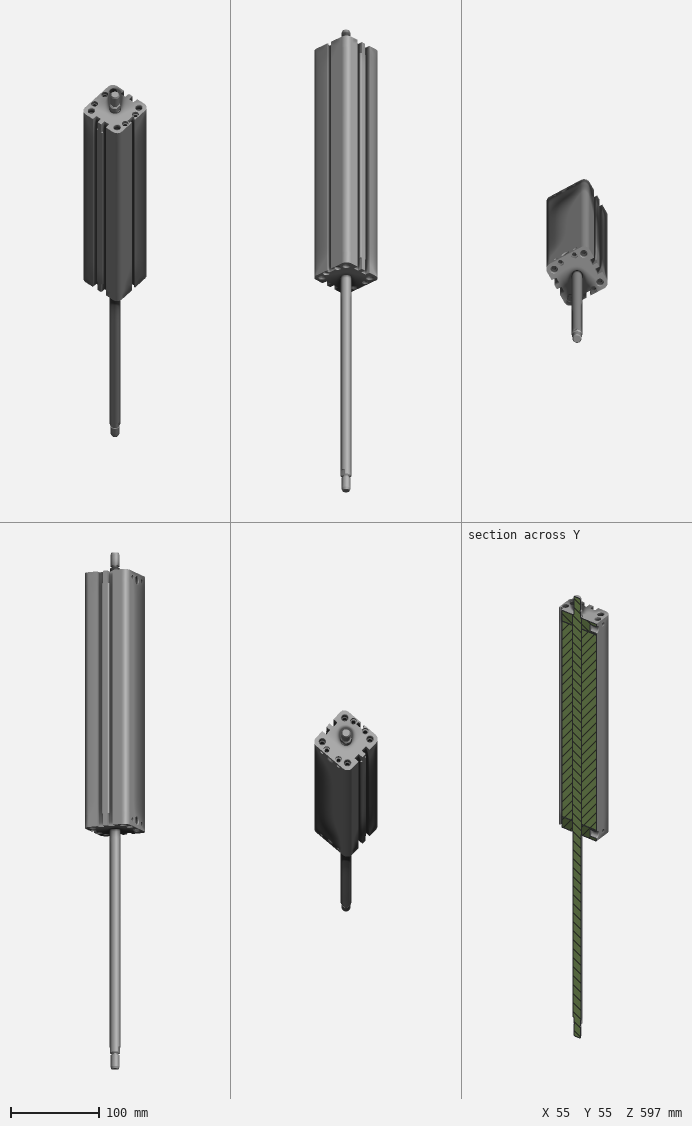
import cadquery as cq

TOTAL_LENGTH = 597.0
BODY_LENGTH = 295.0
TOP_PROTRUSION = 25.5
CAP_HEIGHT = 14.5
BODY_TOP = TOTAL_LENGTH - TOP_PROTRUSION
BODY_BOTTOM = BODY_TOP - BODY_LENGTH
BARREL_LENGTH = BODY_LENGTH - 2 * CAP_HEIGHT

SIDE = 55.0
HALF_SIDE = SIDE / 2
CORNER_RADIUS = 7.0

PAIR_SLOT_INNER = 2.7
PAIR_SLOT_OUTER = 9.5
PAIR_SLOT_DEPTH = 6.0
RIB_LIP_HALF_WIDTH = 4.5
LIP_THICKNESS = 2.0
RIB_EDGE_RADIUS = 1.5

TEE_MOUTH_WIDTH = 5.5
TEE_INNER_WIDTH = 9.0
TEE_DEPTH = 5.5

ROD_DIAMETER = 12.0
THREAD_DIAMETER = 10.0
THREAD_LENGTH = 15.5
TIP_DIAMETER = 8.5
TIP_CHAMFER_LENGTH = 2.5
UNDERCUT_DIAMETER = 8.5
UNDERCUT_LENGTH = 2.0
COLLAR_CHAMFER = 1.5
FLAT_SPACING = 10.0
FLAT_END = 25.0

CORNER_SCREW_OFFSET = 19.0
CORNER_SCREW_HEAD_DIAMETER = 8.0
CORNER_SCREW_HEAD_DEPTH = 7.0
CORNER_SCREW_DIAMETER = 4.9
CORNER_SCREW_MOUTH_DIAMETER = 9.0
SIDE_SCREW_X = 22.5
SIDE_SCREW_Y = 9.0
SIDE_SCREW_HEAD_DIAMETER = 8.0
SIDE_SCREW_HEAD_DEPTH = 3.5
SIDE_SCREW_DIAMETER = 4.9

ROD_MOUTH_DIAMETER = 14.0

PORT_DIAMETER = 8.5
PORT_DEPTH = 9.0
PORT_MOUTH_DIAMETER = 10.0
PORT_HEIGHT = 6.0
FACE_HOLE_DIAMETER = 4.9
FACE_HOLE_DEPTH = 6.0
FACE_HOLE_OFFSET = 12.5


def square_block(z_bottom, height):
    """Rounded square prism on the Z axis, bored for the rod."""
    block = (
        cq.Workplane("XY")
        .workplane(offset=z_bottom)
        .rect(SIDE, SIDE)
        .extrude(height)
        .edges("|Z")
        .fillet(CORNER_RADIUS)
    )
    rod_hole = cq.Workplane("XY").workplane(offset=z_bottom).circle(ROD_DIAMETER / 2).extrude(height)
    return block.cut(rod_hole)


def box_between(x_min, x_max, y_min, y_max, z_bottom, height):
    corner = (x_min, y_min, z_bottom)
    return cq.Workplane("XY").box(x_max - x_min, y_max - y_min, height, centered=False).translate(corner)


def pair_slots(z_bottom, height, has_lip):
    """Four slots beside the centre ribs; a lip on each rib narrows the mouth."""
    floor = HALF_SIDE - PAIR_SLOT_DEPTH
    slot = box_between(PAIR_SLOT_INNER, PAIR_SLOT_OUTER, floor, HALF_SIDE, z_bottom, height)
    if has_lip:
        lip = HALF_SIDE - LIP_THICKNESS
        rib_lip = box_between(0, RIB_LIP_HALF_WIDTH, lip, HALF_SIDE, z_bottom, height)
        slot = slot.cut(rib_lip.edges("|Z and >X and >Y").fillet(RIB_EDGE_RADIUS))
    one_face = slot.union(slot.mirror("YZ"))
    return one_face.union(one_face.mirror("XZ"))


def tee_slot(z_bottom, height):
    floor = HALF_SIDE - TEE_DEPTH
    lip = HALF_SIDE - LIP_THICKNESS
    mouth = box_between(floor, HALF_SIDE, -TEE_MOUTH_WIDTH / 2, TEE_MOUTH_WIDTH / 2, z_bottom, height)
    inner = box_between(floor, lip, -TEE_INNER_WIDTH / 2, TEE_INNER_WIDTH / 2, z_bottom, height)
    return mouth.union(inner)


def make_barrel():
    z_bottom = BODY_BOTTOM + CAP_HEIGHT
    barrel = square_block(z_bottom, BARREL_LENGTH)
    barrel = barrel.cut(pair_slots(z_bottom, BARREL_LENGTH, has_lip=True))
    return barrel.cut(tee_slot(z_bottom, BARREL_LENGTH))


def bore(diameter, depth, mouth_diameter=None):
    """Cutter going down from Z = 0, with a 45 degree countersink if a mouth diameter is given."""
    cutter = cq.Workplane("XY").circle(diameter / 2).extrude(-depth)
    if mouth_diameter:
        sink_depth = (mouth_diameter - diameter) / 2
        sink = cq.Solid.makeCone(mouth_diameter / 2, diameter / 2, sink_depth, dir=cq.Vector(0, 0, -1))
        cutter = cutter.union(cq.Workplane(sink))
    return cutter


def cut_in_four(cap, cutter, x, y):
    """Cut a bore into the outer face of the cap at all four (+-x, +-y) places."""
    for x_sign in (-1, 1):
        for y_sign in (-1, 1):
            cap = cap.cut(cutter.translate((x_sign * x, y_sign * y, CAP_HEIGHT)))
    return cap


def cut_in_face(cap, cutter, y, z):
    """Cut a bore into the -X face of the cap."""
    return cap.cut(cutter.rotate((0, 0, 0), (0, 1, 0), -90).translate((-HALF_SIDE, y, z)))


def make_cap():
    """End cap with its outer face up and its base at Z = 0."""
    cap = square_block(0, CAP_HEIGHT)
    cap = cap.cut(pair_slots(0, CAP_HEIGHT, has_lip=False))
    cap = cap.cut(tee_slot(0, CAP_HEIGHT))
    cap = cap.cut(bore(ROD_DIAMETER, CAP_HEIGHT, ROD_MOUTH_DIAMETER).translate((0, 0, CAP_HEIGHT)))

    corner_head = bore(CORNER_SCREW_HEAD_DIAMETER, CORNER_SCREW_HEAD_DEPTH, CORNER_SCREW_MOUTH_DIAMETER)
    corner_screw = corner_head.union(bore(CORNER_SCREW_DIAMETER, CAP_HEIGHT))
    cap = cut_in_four(cap, corner_screw, CORNER_SCREW_OFFSET, CORNER_SCREW_OFFSET)

    side_head = bore(SIDE_SCREW_HEAD_DIAMETER, SIDE_SCREW_HEAD_DEPTH)
    side_screw = side_head.union(bore(SIDE_SCREW_DIAMETER, CAP_HEIGHT))
    cap = cut_in_four(cap, side_screw, SIDE_SCREW_X, SIDE_SCREW_Y)

    cap = cut_in_face(cap, bore(PORT_DIAMETER, PORT_DEPTH, PORT_MOUTH_DIAMETER), 0, PORT_HEIGHT)
    face_hole = bore(FACE_HOLE_DIAMETER, FACE_HOLE_DEPTH)
    for side in (-1, 1):
        cap = cut_in_face(cap, face_hole, side * FACE_HOLE_OFFSET, CAP_HEIGHT / 2)
    return cap


def make_caps():
    upward_cap = make_cap()
    top_cap = upward_cap.translate((0, 0, BODY_TOP - CAP_HEIGHT))
    bottom_cap = upward_cap.mirror("XY").translate((0, 0, BODY_BOTTOM + CAP_HEIGHT))
    return [top_cap, bottom_cap]


def make_rod():
    """One rod through the whole cylinder, the same at both tips."""
    thread_radius = THREAD_DIAMETER / 2
    undercut_radius = UNDERCUT_DIAMETER / 2
    rod_radius = ROD_DIAMETER / 2
    collar_start = THREAD_LENGTH + UNDERCUT_LENGTH
    lower_half = (
        cq.Workplane("XZ")
        .moveTo(0, 0)
        .lineTo(TIP_DIAMETER / 2, 0)
        .lineTo(thread_radius, TIP_CHAMFER_LENGTH)
        .lineTo(thread_radius, THREAD_LENGTH)
        .lineTo(undercut_radius, THREAD_LENGTH)
        .lineTo(undercut_radius, collar_start)
        .lineTo(rod_radius - COLLAR_CHAMFER, collar_start)
        .lineTo(rod_radius, collar_start + COLLAR_CHAMFER)
        .lineTo(rod_radius, TOTAL_LENGTH / 2)
        .lineTo(0, TOTAL_LENGTH / 2)
        .close()
        .revolve(360, (0, 0, 0), (0, 1, 0))
    )
    flat_length = FLAT_END - collar_start
    flat_shift = (FLAT_SPACING + ROD_DIAMETER) / 2
    flat = cq.Workplane("XY").box(ROD_DIAMETER, ROD_DIAMETER, flat_length, centered=(True, True, False))
    for side in (-1, 1):
        lower_half = lower_half.cut(flat.translate((side * flat_shift, 0, collar_start)))
    upper_half = lower_half.mirror("XY").translate((0, 0, TOTAL_LENGTH))
    return lower_half.union(upper_half)


barrel = make_barrel()
caps = make_caps()
rod = make_rod()

result = cq.Compound.makeCompound([barrel.val(), *[cap.val() for cap in caps], rod.val()])